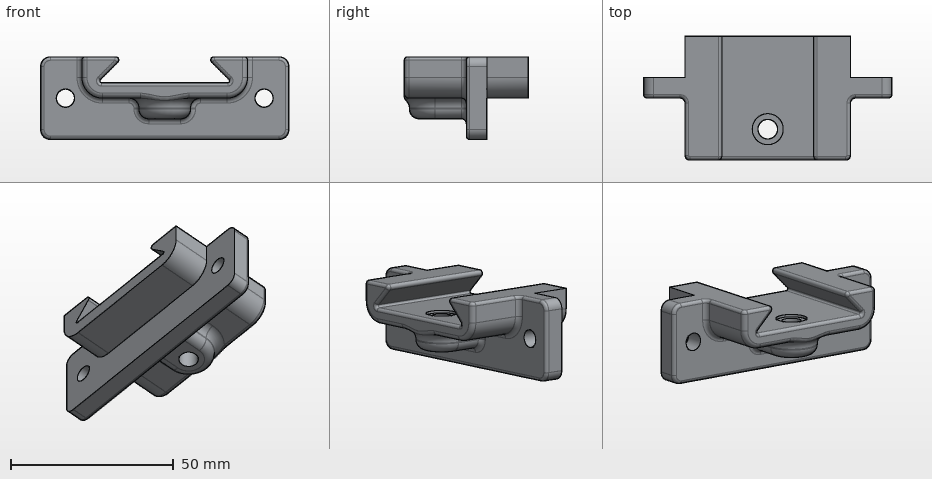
import cadquery as cq
import math

plate_width = 76.2
plate_height = plate_width / 3
plate_thickness = plate_width / 12
plate_corner_radius = 3.05
screw_hole_diameter = 5.5
screw_hole_spacing = 60.95

carrier_width = plate_width * 2 / 3
carrier_height = plate_height / 2
carrier_front = -19.05
carrier_back = 19.05
carrier_length = carrier_back - carrier_front
carrier_corner_radius = carrier_height / 2

groove_depth = 7.9
mouth_half_width = plate_width / 6
floor_half_width = mouth_half_width + groove_depth
lip_radius = 1.0
groove_corner_radius = 0.5

boss_radius = 7.9
boss_blend_radius = 3.05
boss_bottom = -0.75 * plate_height
boss_y = carrier_front / 2
boss_overlap = 0.8
hole_diameter = 5.95
counterbore_diameter = 9.5
counterbore_depth = 0.8

joint_radius = 1.5
edge_radius = 1.1

margin = 0.1


def make_plate():
    return (
        cq.Workplane("XZ")
        .center(0, -plate_height / 2)
        .rect(plate_width, plate_height)
        .extrude(-plate_thickness)
        .edges("|Y")
        .fillet(plate_corner_radius)
    )


def make_carrier():
    return (
        cq.Workplane("XZ", origin=(0, carrier_front, 0))
        .center(0, -carrier_height / 2)
        .rect(carrier_width, carrier_height)
        .extrude(-carrier_length)
        .edges("|Y and <Z")
        .fillet(carrier_corner_radius)
    )


def make_boss():
    """Half profile flared into the carrier, revolved at the front and run straight back to the plate."""
    diagonal = boss_blend_radius * math.sqrt(0.5)
    flare_radius = boss_radius + boss_blend_radius
    flare_center_z = -carrier_height - boss_blend_radius
    round_center_z = boss_bottom + boss_blend_radius
    round_start = boss_radius - boss_blend_radius

    def half_profile(plane):
        return (
            plane.moveTo(0, -carrier_height + boss_overlap)
            .lineTo(flare_radius, -carrier_height + boss_overlap)
            .lineTo(flare_radius, -carrier_height)
            .threePointArc(
                (flare_radius - diagonal, flare_center_z + diagonal),
                (boss_radius, flare_center_z),
            )
            .lineTo(boss_radius, round_center_z)
            .threePointArc(
                (round_start + diagonal, round_center_z - diagonal),
                (round_start, boss_bottom),
            )
            .lineTo(0, boss_bottom)
            .close()
        )

    plane = cq.Workplane("XZ", origin=(0, boss_y, 0))
    round_end = half_profile(plane).revolve(180, (0, 0.8), (0, 0))
    straight_half = half_profile(plane).extrude(boss_y)
    boss = round_end.union(straight_half).union(straight_half.mirror("YZ"))
    front_space = cq.Workplane("XY").box(plate_width, -carrier_front, 2 * plate_height)
    return boss.intersect(front_space.translate((0, carrier_front / 2, 0)))


def make_groove():
    groove = (
        cq.Workplane("XZ", origin=(0, carrier_front, 0))
        .moveTo(-mouth_half_width, 0)
        .lineTo(-floor_half_width, -groove_depth)
        .lineTo(floor_half_width, -groove_depth)
        .lineTo(mouth_half_width, 0)
        .close()
        .extrude(-carrier_length)
    )
    return groove.edges("|Y and <Z").fillet(groove_corner_radius)


def edges_in_band(y):
    """Edges at depth y that outline the carrier and the boss, leaving out those at the very top."""
    return cq.selectors.BoxSelector(
        (-carrier_width / 2 - margin, y - margin, boss_bottom - margin),
        (carrier_width / 2 + margin, y + margin, -margin),
    )


def round_joint(body):
    """Concave rounding where the carrier and the boss meet the plate."""
    return body.edges(edges_in_band(0)).fillet(joint_radius)


def round_carrier_front(body):
    """Convex rounding along the sides and underside of the carrier's front end."""
    return body.edges(edges_in_band(carrier_front)).fillet(joint_radius)


def round_groove_lips(body):
    lips = cq.selectors.BoxSelector(
        (-mouth_half_width - margin, carrier_front, -margin),
        (mouth_half_width + margin, carrier_back, margin),
    )
    return body.edges("|Y").edges(lips).fillet(lip_radius)


def round_rim(body):
    """Round one continuous tangent chain: plate outline, top edges and front end of the groove.

    The plate's lower front edge starts the chain, and the fillet follows it all the way round.
    """
    return body.faces("<Z").edges("<Y").fillet(edge_radius)


def cut_screw_holes(body):
    return (
        body.copyWorkplane(cq.Workplane("XZ"))
        .center(0, -plate_height / 2)
        .rarray(screw_hole_spacing, 0.8, 2, 1)
        .circle(screw_hole_diameter / 2)
        .cutBlind(-plate_thickness)
    )


def cut_boss_hole(body):
    floor = cq.Workplane("XY", origin=(0, boss_y, -groove_depth))
    return body.copyWorkplane(floor).cboreHole(hole_diameter, counterbore_diameter, counterbore_depth)


body = make_plate().union(make_carrier()).union(make_boss())
body = round_joint(body)
body = round_carrier_front(body)
body = body.cut(make_groove())
body = round_groove_lips(body)
body = round_rim(body)
body = cut_screw_holes(body)
result = cut_boss_hole(body)